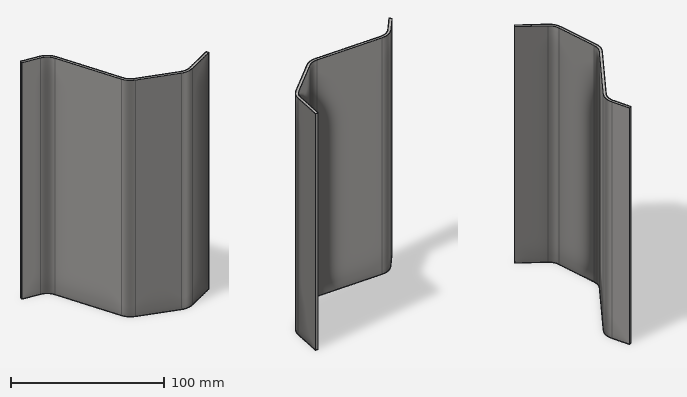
import cadquery as cq
import math

height = 185.0
thickness = 2.0
inner_radius = 10.0

lip_length = 13.5
web_length = 50.0
slope_length = 31.0
flange_length = 21.6

lip_angle = 55.0
web_angle = 0.0
slope_angle = 45.0
flange_angle = 90.0

flats = [
    (lip_length, lip_angle),
    (web_length, web_angle),
    (slope_length, slope_angle),
    (flange_length, flange_angle),
]
middle_radius = inner_radius + thickness / 2


def move(point, distance, angle):
    """Shift a point by a distance along a direction given in degrees."""
    radians = math.radians(angle)
    return (point[0] + distance * math.cos(radians), point[1] + distance * math.sin(radians))


def beside(station, offset):
    """Point at an offset to the left of a (point, direction) station."""
    point, angle = station
    return move(point, offset, angle + 90)


def bend_stations(start, angle, next_angle):
    """Middle and end stations of a bend on the sheet's middle line."""
    turn_side = math.copysign(90, next_angle - angle)
    centre = move(start, middle_radius, angle + turn_side)
    middle_angle = (angle + next_angle) / 2
    middle = (move(centre, middle_radius, middle_angle - turn_side), middle_angle)
    end = (move(centre, middle_radius, next_angle - turn_side), next_angle)
    return middle, end


start = (0.0, 0.0)
flat_stations = []
bend_middles = []
for index, (length, angle) in enumerate(flats):
    end = move(start, length, angle)
    flat_stations.append(((start, angle), (end, angle)))
    if index + 1 < len(flats):
        middle, bend_end = bend_stations(end, angle, flats[index + 1][1])
        bend_middles.append(middle)
        start = bend_end[0]

half = thickness / 2
profile = cq.Workplane("XY").moveTo(*beside(flat_stations[0][0], -half))
for index, (flat_start, flat_end) in enumerate(flat_stations):
    if index > 0:
        profile = profile.threePointArc(beside(bend_middles[index - 1], -half), beside(flat_start, -half))
    profile = profile.lineTo(*beside(flat_end, -half))

profile = profile.lineTo(*beside(flat_stations[-1][1], half))
for index in reversed(range(len(flat_stations))):
    flat_start, flat_end = flat_stations[index]
    if index + 1 < len(flat_stations):
        profile = profile.threePointArc(beside(bend_middles[index], half), beside(flat_end, half))
    profile = profile.lineTo(*beside(flat_start, half))

result = profile.close().extrude(height)